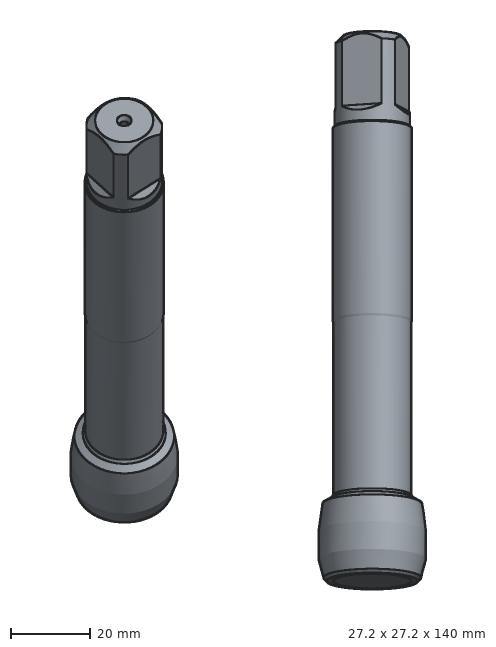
import cadquery as cq
import math

total_length = 140.0

journal_radius = 20.0 / 2
lower_radius = 19.7 / 2
neck_radius = 19.2 / 2
journal_bottom = 66.4
journal_top = 116.8
journal_chamfer_height = 0.4
journal_taper_height = 0.5

across_flats = 16.0
drive_chamfer = 2.2
flat_runout_top = 121.1

center_hole_radius = 2.0 / 2
center_mouth_radius = 3.6 / 2
center_mouth_angle = 60.0
center_hole_depth = 4.2
drill_tip_angle = 118.0

sleeve_radius = 27.2 / 2
sleeve_bottom_radius = 11.5
sleeve_chamfer = 0.8
belt_bottom = 5.6
belt_top = 12.7
shoulder_radius = 12.6
shoulder_level = 19.9
collar_radius = 10.5
collar_level = 21.1
sleeve_top = 22.0
upper_bulge = 0.1


def revolve_z(profile):
    """Revolve a closed radius-height profile around the Z axis."""
    return profile.close().revolve(360, (0, 0, 0), (0, 1, 0))


def shaft_blank():
    """Stepped round shaft with a chamfered top end."""
    profile = (
        cq.Workplane("XZ")
        .lineTo(lower_radius, 0)
        .lineTo(lower_radius, journal_bottom)
        .lineTo(journal_radius, journal_bottom + journal_taper_height)
        .lineTo(journal_radius, journal_top - journal_chamfer_height)
        .lineTo(neck_radius, journal_top)
        .lineTo(neck_radius, total_length - drive_chamfer)
        .lineTo(neck_radius - drive_chamfer, total_length)
        .lineTo(0, total_length)
    )
    return revolve_z(profile)


def flat_cutter():
    """Cutter for the +X flat, whose floor runs out outwards and down at 45 degrees."""
    flat_offset = across_flats / 2
    outer_offset = journal_radius
    runout_drop = outer_offset - flat_offset
    return (
        cq.Workplane("XZ")
        .moveTo(flat_offset, flat_runout_top)
        .lineTo(outer_offset, flat_runout_top - runout_drop)
        .lineTo(outer_offset, total_length)
        .lineTo(flat_offset, total_length)
        .close()
        .extrude(neck_radius, both=True)
    )


def center_hole():
    """Centre-drilled hole with a conical mouth and a drill-point bottom."""
    mouth_depth = (center_mouth_radius - center_hole_radius) / math.tan(math.radians(center_mouth_angle / 2))
    tip_depth = center_hole_radius / math.tan(math.radians(drill_tip_angle / 2))
    wall_bottom = total_length - center_hole_depth
    profile = (
        cq.Workplane("XZ")
        .moveTo(0, total_length)
        .lineTo(center_mouth_radius, total_length)
        .lineTo(center_hole_radius, total_length - mouth_depth)
        .lineTo(center_hole_radius, wall_bottom)
        .lineTo(0, wall_bottom - tip_depth)
    )
    return revolve_z(profile)


def make_shaft():
    """Shaft with a square drive and a centre hole at its top end."""
    shaft = shaft_blank()
    for angle in (0, 90, 180, 270):
        cutter = flat_cutter().rotate((0, 0, 0), (0, 0, 1), angle)
        shaft = shaft.cut(cutter)
    return shaft.cut(center_hole())


def make_sleeve():
    """Barrel-shaped sleeve bored to fit the lower end of the shaft."""
    foot_radius = sleeve_bottom_radius + sleeve_chamfer
    upper_middle = (
        (sleeve_radius + shoulder_radius) / 2 + upper_bulge,
        (belt_top + shoulder_level) / 2,
    )
    profile = (
        cq.Workplane("XZ")
        .moveTo(lower_radius, 0)
        .lineTo(sleeve_bottom_radius, 0)
        .lineTo(foot_radius, sleeve_chamfer)
        .lineTo(sleeve_radius, belt_bottom)
        .lineTo(sleeve_radius, belt_top)
        .threePointArc(upper_middle, (shoulder_radius, shoulder_level))
        .lineTo(collar_radius, collar_level)
        .lineTo(lower_radius, sleeve_top)
    )
    return revolve_z(profile)


shaft = make_shaft()
sleeve = make_sleeve()
result = cq.Compound.makeCompound([shaft.val(), sleeve.val()])